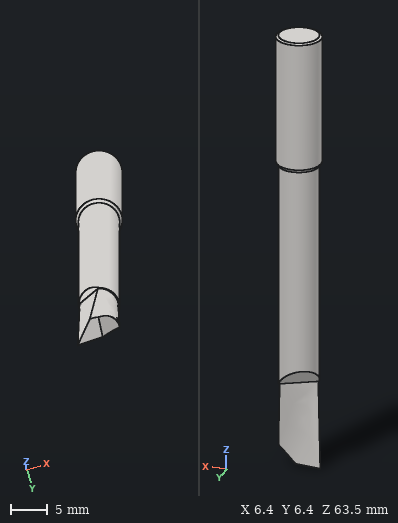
import cadquery as cq
import math

total_length = 63.5
shank_radius = 3.2
shank_bottom = 44.45
end_chamfer_height = 0.2
end_chamfer_width = 0.4
neck_radius = 2.8
shoulder_height = 0.5

tip_top = 12.3
top_radius = 2.65
top_rake_angle = 27
top_heel_angle = -76
bottom_radius = 3.05
bottom_rake_angle = -2
bottom_heel_angle = -98
cutting_corner_x = -3.05

end_slope_x = 0.07
end_slope_y = 0.1
bevel_start_x = 0.3
bevel_side_x = 2.9
bevel_height = 2.9
cutter_size = 12.7


def polar(radius, angle):
    """Point in the XY plane at a given radius and angle in degrees."""
    radians = math.radians(angle)
    return (radius * math.cos(radians), radius * math.sin(radians))


def make_bar():
    """Round shank with chamfered ends, stepping down to the neck."""
    return (
        cq.Workplane("XZ")
        .moveTo(0, tip_top)
        .lineTo(neck_radius, tip_top)
        .lineTo(neck_radius, shank_bottom)
        .lineTo(shank_radius, shank_bottom + shoulder_height)
        .lineTo(shank_radius, total_length - end_chamfer_height)
        .lineTo(shank_radius - end_chamfer_width, total_length)
        .lineTo(0, total_length)
        .close()
        .revolve(360, (0, 0), (0, 1))
    )


def runout_wedge(offset, normal_angle):
    """45 degree wedge under the neck, starting at an offset from the axis."""
    return (
        cq.Workplane("XZ")
        .moveTo(offset, tip_top)
        .lineTo(offset + cutter_size, tip_top)
        .lineTo(offset + cutter_size, tip_top + cutter_size)
        .close()
        .extrude(cutter_size, both=True)
        .rotate((0, 0, 0), (0, 0, 1), normal_angle)
    )


def tip_section(workplane, corner, heel, back_middle, back_end):
    """Flat flank from corner to heel, round back, and a straight rake face."""
    return (
        workplane.moveTo(*corner)
        .lineTo(*heel)
        .threePointArc(back_middle, back_end)
        .close()
    )


def make_tip():
    """Ruled tip whose rake face twists from the neck to the cutting end."""
    bottom = tip_section(
        cq.Workplane("XY"),
        (cutting_corner_x, 0),
        polar(bottom_radius, bottom_heel_angle),
        polar(bottom_radius, (bottom_heel_angle + bottom_rake_angle) / 2),
        polar(bottom_radius, bottom_rake_angle),
    )
    return tip_section(
        bottom.workplane(offset=tip_top),
        top_corner,
        top_heel,
        polar(top_radius, (top_heel_angle + top_rake_angle) / 2),
        polar(top_radius, top_rake_angle),
    ).loft(ruled=True)


def end_relief():
    """Block whose tilted top rises from the cutting corner toward +X and -Y."""
    tilted_end = cq.Plane(
        origin=(cutting_corner_x, 0, 0),
        xDir=(1, 0, end_slope_x),
        normal=(-end_slope_x, end_slope_y, 1),
    )
    return cq.Workplane(tilted_end).circle(cutter_size).extrude(-cutter_size)


def corner_bevel():
    """Wedge that removes the trailing lower corner on the +X side."""
    return (
        cq.Workplane("XZ")
        .moveTo(bevel_start_x, 0)
        .lineTo(bevel_side_x, bevel_height)
        .lineTo(cutter_size, bevel_height)
        .lineTo(cutter_size, 0)
        .close()
        .extrude(cutter_size, both=True)
    )


top_corner = polar(top_radius, top_rake_angle + 180)
top_heel = polar(top_radius, top_heel_angle)

flank_half_span = (top_heel_angle + 180 - top_rake_angle) / 2
flank_normal_angle = top_heel_angle - flank_half_span
flank_offset = top_radius * math.cos(math.radians(flank_half_span))

bar = make_bar()
bar = bar.cut(runout_wedge(0, top_rake_angle + 90))
bar = bar.cut(runout_wedge(flank_offset, flank_normal_angle))

tip = make_tip().cut(end_relief()).cut(corner_bevel())
result = bar.union(tip)